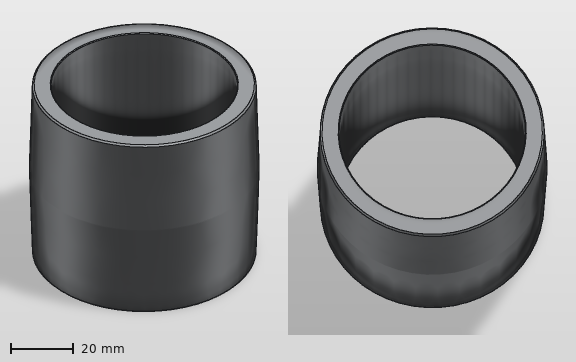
import cadquery as cq

outer_diameter = 73.15
height = 63.5
end_diameter = 71.25
bore_diameter = 59.25
band_width = 0.3
end_chamfer = 0.6
bore_chamfer = 0.3

outer_radius = outer_diameter / 2
end_radius = end_diameter / 2
bore_radius = bore_diameter / 2
half_height = height / 2
half_band = band_width / 2
taper_end = half_height - end_chamfer
bore_end = half_height - bore_chamfer

section = (
    cq.Workplane("XZ")
    .moveTo(bore_radius, -bore_end)
    .lineTo(bore_radius + bore_chamfer, -half_height)
    .lineTo(end_radius - end_chamfer, -half_height)
    .lineTo(end_radius, -taper_end)
    .lineTo(outer_radius, -half_band)
    .lineTo(outer_radius, half_band)
    .lineTo(end_radius, taper_end)
    .lineTo(end_radius - end_chamfer, half_height)
    .lineTo(bore_radius + bore_chamfer, half_height)
    .lineTo(bore_radius, bore_end)
    .close()
)
result = section.revolve(360, (0, 0, 0), (0, 1, 0))